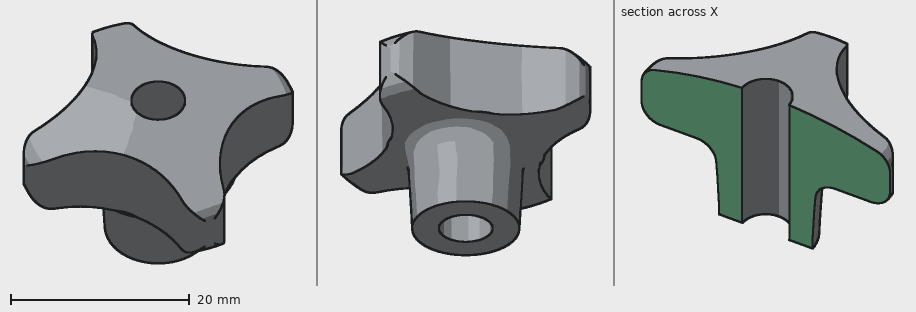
import cadquery as cq
import math

SPAN = 32.0
APEX_HEIGHT = 20.0
HEAD_BOTTOM = 10.0
DOME_RADIUS = 48.0
TIP_RADIUS = 2.5
SCALLOP_CENTER = 15.33
STEM_BOTTOM_RADIUS = 6.0
STEM_DRAFT = math.radians(3)
STEM_FILLET = 2.5
BORE_RADIUS = 3.0
ARM_COUNT = 4

TIP_RADIAL = SPAN / 2 - TIP_RADIUS
SCALLOP_RADIUS = math.hypot(SCALLOP_CENTER, SCALLOP_CENTER - TIP_RADIAL) - TIP_RADIUS


def polar(center, radius, angle):
    return (center[0] + radius * math.cos(angle), center[1] + radius * math.sin(angle))


def rotate(point, angle):
    return polar((0, 0), math.hypot(*point), math.atan2(point[1], point[0]) + angle)


def cross_prism():
    """Four round-ended arms joined by tangent hollows, extruded to full height."""
    tangent_angle = math.atan2(SCALLOP_CENTER, SCALLOP_CENTER - TIP_RADIAL)
    tip_start = polar((TIP_RADIAL, 0), TIP_RADIUS, -tangent_angle)
    tip_end = polar((TIP_RADIAL, 0), TIP_RADIUS, tangent_angle)
    waist = (math.hypot(SCALLOP_CENTER, SCALLOP_CENTER) - SCALLOP_RADIUS, 0)
    step = 2 * math.pi / ARM_COUNT

    outline = cq.Workplane("XY").workplane(offset=HEAD_BOTTOM).moveTo(*tip_start)
    for arm in range(ARM_COUNT):
        turn = arm * step
        outline = outline.threePointArc(rotate((SPAN / 2, 0), turn), rotate(tip_end, turn))
        outline = outline.threePointArc(
            rotate(waist, turn + step / 2), rotate(tip_start, turn + step)
        )
    return outline.close().extrude(APEX_HEIGHT - HEAD_BOTTOM)


def domed_disc():
    """Revolved envelope of the head: flat base, rounded rim and spherical top."""
    dome_center = (0, APEX_HEIGHT - DOME_RADIUS)
    center_distance = DOME_RADIUS - TIP_RADIUS
    lower_center = (TIP_RADIAL, HEAD_BOTTOM + TIP_RADIUS)
    rise = math.sqrt(center_distance**2 - TIP_RADIAL**2)
    upper_center = (TIP_RADIAL, dome_center[1] + rise)
    rim_angle = math.atan2(rise, TIP_RADIAL)
    dome_mid_angle = (rim_angle + math.pi / 2) / 2

    return (
        cq.Workplane("XZ")
        .moveTo(0, HEAD_BOTTOM)
        .lineTo(TIP_RADIAL, HEAD_BOTTOM)
        .threePointArc(
            polar(lower_center, TIP_RADIUS, -math.pi / 4),
            polar(lower_center, TIP_RADIUS, 0),
        )
        .lineTo(SPAN / 2, upper_center[1])
        .threePointArc(
            polar(upper_center, TIP_RADIUS, rim_angle / 2),
            polar(upper_center, TIP_RADIUS, rim_angle),
        )
        .threePointArc(polar(dome_center, DOME_RADIUS, dome_mid_angle), (0, APEX_HEIGHT))
        .close()
        .revolve(360, (0, 0), (0, 1))
    )


def stem():
    """Drafted stem that flares into the underside of the head."""
    fillet_z = HEAD_BOTTOM - STEM_FILLET
    fillet_r = (
        STEM_BOTTOM_RADIUS + fillet_z * math.tan(STEM_DRAFT) + STEM_FILLET / math.cos(STEM_DRAFT)
    )
    center = (fillet_r, fillet_z)
    start_angle = math.pi - STEM_DRAFT
    end_angle = math.pi / 2
    overlap_z = HEAD_BOTTOM + TIP_RADIUS

    return (
        cq.Workplane("XZ")
        .lineTo(STEM_BOTTOM_RADIUS, 0)
        .lineTo(*polar(center, STEM_FILLET, start_angle))
        .threePointArc(
            polar(center, STEM_FILLET, (start_angle + end_angle) / 2),
            polar(center, STEM_FILLET, end_angle),
        )
        .lineTo(STEM_BOTTOM_RADIUS, overlap_z)
        .lineTo(0, overlap_z)
        .close()
        .revolve(360, (0, 0), (0, 1))
    )


head = cross_prism().intersect(domed_disc())
bore = cq.Workplane("XY").circle(BORE_RADIUS).extrude(APEX_HEIGHT)
result = head.union(stem()).cut(bore)